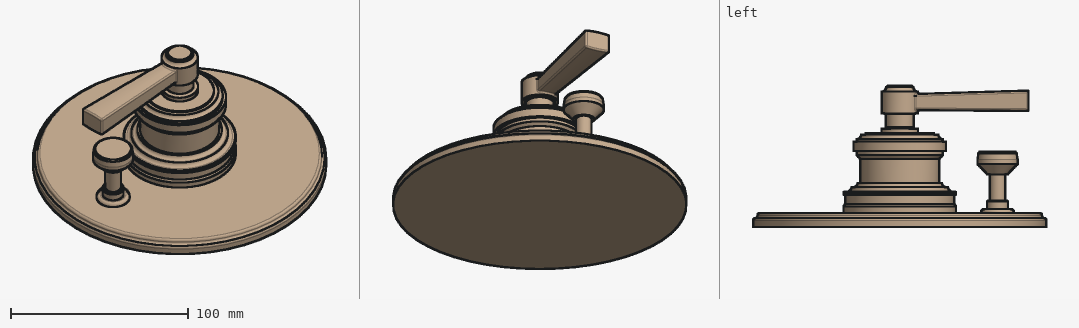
import cadquery as cq

PLATE_RADIUS = 82.5
PLATE_RIM_HEIGHT = 3.6
PLATE_LEDGE_HEIGHT = 5.1
PLATE_LEDGE_RADIUS = 81.5
PLATE_MOULDING_ROUND = 1.5
PLATE_TOP = PLATE_LEDGE_HEIGHT + 2 * PLATE_MOULDING_ROUND

BASE_RADIUS = 31.7
BASE_GROOVE_RADIUS = 30.7
BASE_SHOULDER_HEIGHT = 11.5
BASE_BEVEL = 1.5
FLANGE_BOTTOM = 18.0
FLANGE_TOP = 20.0
FLANGE_CHAMFER = 0.5
COVE_ROUND = 2.5
LOWER_COVE_RADIUS = 29.7
UPPER_COVE_RADIUS = 26.3
COLUMN_RADIUS = 22.3
COLUMN_TOP = 38.5
NECK_RADIUS = 24.3
NECK_BOTTOM = 40.5
COLLAR_RADIUS = 26.1
COLLAR_BOTTOM = 42.8
COLLAR_TOP = 48.0
CROWN_COVE_BOTTOM = 49.5
CROWN_CAP_RADIUS = 19.3
CROWN_TOP = 52.8

DISC_RADIUS = 10.4
DISC_TOP = 55.5
GAP_RADIUS = 5.3
STEM_RADIUS = 8.0
STEM_BOTTOM = 56.3
HEAD_RADIUS = 10.2
HEAD_LIP_RADIUS = 8.6
HEAD_LIP_BOTTOM = 63.5
HEAD_BOTTOM = 64.0
HEAD_TOP = 76.3
CAP_RADIUS = 7.1
CAP_TOP = 79.5
CAP_CHAMFER = 0.5

LEVER_LENGTH = 72.5
LEVER_ROOT_Y = 8.3
ROOT_HALF_WIDTH = 5.6
ROOT_BOTTOM = 65.7
ROOT_TOP = 75.0
TIP_HALF_WIDTH = 7.6
TIP_BOTTOM = 65.2
TIP_TOP = 77.0
LEVER_CROWN = 0.5
LEVER_EDGE_ROUND = 1.0
LEVER_ROOT_ROUND = 1.0
JOINT_MARGIN = 0.2

KNOB_Y = -55.0
KNOB_FOOT_RADIUS = 9.4
KNOB_FOOT_HEIGHT = 2.1
KNOB_SLEEVE_RADIUS = 6.0
KNOB_SLEEVE_TOP = 15.0
KNOB_SLEEVE_CHAMFER = 0.7
KNOB_SHAFT_RADIUS = 4.5
KNOB_CONE_RADIUS = 5.8
KNOB_CONE_BOTTOM = 29.7
KNOB_RADIUS = 11.4
KNOB_RIM_BOTTOM = 35.5
KNOB_RIM_TOP = 38.0
KNOB_SHOULDER_RADIUS = 10.9
KNOB_SHOULDER_HEIGHT = 41.5
KNOB_TOP_RADIUS = 10.0
KNOB_TOP = 42.5


def convex(profile, radius, height, curve):
    """Continue an upward (radius, height) profile with an outward-bulging arc."""
    return profile.radiusArc((radius, height), -curve)


def hollow(profile, radius, height, curve):
    """Continue an upward (radius, height) profile with an inward-curving arc."""
    return profile.radiusArc((radius, height), curve)


def straight_run(profile, steps):
    """Continue a profile with straight lines through (radius, height) corners."""
    for corner in steps:
        profile = profile.lineTo(*corner)
    return profile


def spin(profile, top):
    """Close a profile on the vertical axis and revolve it."""
    return profile.lineTo(0, top).close().revolve(360, (0, 0), (0, 1))


def make_plate():
    moulding_middle = PLATE_LEDGE_HEIGHT + PLATE_MOULDING_ROUND
    moulding_radius = PLATE_LEDGE_RADIUS - PLATE_MOULDING_ROUND
    profile = cq.Workplane("XZ").lineTo(PLATE_RADIUS, 0).lineTo(PLATE_RADIUS, PLATE_RIM_HEIGHT)
    profile = convex(profile, PLATE_LEDGE_RADIUS, PLATE_LEDGE_HEIGHT, PLATE_MOULDING_ROUND)
    profile = hollow(profile, moulding_radius, moulding_middle, PLATE_MOULDING_ROUND)
    profile = convex(profile, moulding_radius - PLATE_MOULDING_ROUND, PLATE_TOP, PLATE_MOULDING_ROUND)
    return spin(profile, PLATE_TOP)


def make_body():
    lower_cove_top = FLANGE_TOP + COVE_ROUND
    upper_cove_top = lower_cove_top + COVE_ROUND
    crown_cove_top = CROWN_COVE_BOTTOM + COVE_ROUND
    profile = straight_run(cq.Workplane("XZ"), [
        (BASE_RADIUS, 0),
        (BASE_RADIUS, BASE_SHOULDER_HEIGHT),
        (BASE_GROOVE_RADIUS, BASE_SHOULDER_HEIGHT + BASE_BEVEL),
        (BASE_GROOVE_RADIUS, FLANGE_BOTTOM),
        (BASE_RADIUS - FLANGE_CHAMFER, FLANGE_BOTTOM),
        (BASE_RADIUS, FLANGE_BOTTOM + FLANGE_CHAMFER),
        (BASE_RADIUS, FLANGE_TOP - FLANGE_CHAMFER),
        (BASE_RADIUS - FLANGE_CHAMFER, FLANGE_TOP),
        (LOWER_COVE_RADIUS, FLANGE_TOP),
    ])
    profile = hollow(profile, LOWER_COVE_RADIUS - COVE_ROUND, lower_cove_top, COVE_ROUND)
    profile = profile.lineTo(UPPER_COVE_RADIUS, lower_cove_top)
    profile = hollow(profile, UPPER_COVE_RADIUS - COVE_ROUND, upper_cove_top, COVE_ROUND)
    profile = straight_run(profile, [
        (COLUMN_RADIUS, upper_cove_top),
        (COLUMN_RADIUS, COLUMN_TOP),
        (NECK_RADIUS, NECK_BOTTOM),
        (NECK_RADIUS, COLLAR_BOTTOM),
        (COLLAR_RADIUS, COLLAR_BOTTOM),
        (COLLAR_RADIUS, COLLAR_TOP),
        (NECK_RADIUS, COLLAR_TOP),
        (NECK_RADIUS, CROWN_COVE_BOTTOM),
    ])
    profile = hollow(profile, NECK_RADIUS - COVE_ROUND, crown_cove_top, COVE_ROUND)
    profile = straight_run(profile, [(CROWN_CAP_RADIUS, crown_cove_top), (CROWN_CAP_RADIUS, CROWN_TOP)])
    return spin(profile, CROWN_TOP)


def make_stem_and_head():
    cove_top = HEAD_TOP + COVE_ROUND
    profile = straight_run(cq.Workplane("XZ"), [
        (DISC_RADIUS, 0),
        (DISC_RADIUS, DISC_TOP),
        (GAP_RADIUS, DISC_TOP),
        (GAP_RADIUS, STEM_BOTTOM),
        (STEM_RADIUS, STEM_BOTTOM),
        (STEM_RADIUS, HEAD_LIP_BOTTOM),
        (HEAD_LIP_RADIUS, HEAD_LIP_BOTTOM),
        (HEAD_LIP_RADIUS, HEAD_BOTTOM),
        (HEAD_RADIUS, HEAD_BOTTOM),
        (HEAD_RADIUS, HEAD_TOP),
    ])
    profile = hollow(profile, HEAD_RADIUS - COVE_ROUND, cove_top, COVE_ROUND)
    profile = straight_run(profile, [
        (CAP_RADIUS, cove_top),
        (CAP_RADIUS, CAP_TOP - CAP_CHAMFER),
        (CAP_RADIUS - CAP_CHAMFER, CAP_TOP),
    ])
    return spin(profile, CAP_TOP)


def lever_section(sketch, half_width, bottom, top):
    """Draw a rectangle with straight sides and bulging upper and lower edges."""
    return (
        sketch.moveTo(-half_width, bottom + LEVER_CROWN)
        .threePointArc((0, bottom), (half_width, bottom + LEVER_CROWN))
        .lineTo(half_width, top - LEVER_CROWN)
        .threePointArc((0, top), (-half_width, top - LEVER_CROWN))
        .close()
    )


def make_lever():
    root = cq.Workplane("XZ", origin=(0, -LEVER_ROOT_Y, 0))
    lever = lever_section(root, ROOT_HALF_WIDTH, ROOT_BOTTOM, ROOT_TOP)
    lever = lever.workplane(offset=LEVER_LENGTH - LEVER_ROOT_Y)
    lever = lever_section(lever, TIP_HALF_WIDTH, TIP_BOTTOM, TIP_TOP).loft(ruled=True)
    return lever.edges("not >Y").fillet(LEVER_EDGE_ROUND)


def make_handle():
    handle = make_stem_and_head().union(make_lever())
    joint = cq.selectors.BoxSelector(
        (-HEAD_RADIUS, -HEAD_RADIUS - JOINT_MARGIN, HEAD_BOTTOM + JOINT_MARGIN),
        (HEAD_RADIUS, -LEVER_ROOT_Y, HEAD_TOP - JOINT_MARGIN),
        boundingbox=True,
    )
    return handle.edges(joint).fillet(LEVER_ROOT_ROUND)


def make_knob():
    foot_top = PLATE_TOP + KNOB_FOOT_HEIGHT
    profile = straight_run(cq.Workplane("XZ", origin=(0, KNOB_Y, 0)), [
        (KNOB_FOOT_RADIUS, 0),
        (KNOB_FOOT_RADIUS, PLATE_TOP),
    ])
    profile = convex(profile, KNOB_FOOT_RADIUS - KNOB_FOOT_HEIGHT, foot_top, KNOB_FOOT_HEIGHT)
    profile = straight_run(profile, [
        (KNOB_SLEEVE_RADIUS, foot_top),
        (KNOB_SLEEVE_RADIUS, KNOB_SLEEVE_TOP - KNOB_SLEEVE_CHAMFER),
        (KNOB_SLEEVE_RADIUS - KNOB_SLEEVE_CHAMFER, KNOB_SLEEVE_TOP),
        (KNOB_SHAFT_RADIUS, KNOB_SLEEVE_TOP),
        (KNOB_SHAFT_RADIUS, KNOB_CONE_BOTTOM),
        (KNOB_CONE_RADIUS, KNOB_CONE_BOTTOM),
        (KNOB_RADIUS, KNOB_RIM_BOTTOM),
        (KNOB_RADIUS, KNOB_RIM_TOP),
        (KNOB_SHOULDER_RADIUS, KNOB_SHOULDER_HEIGHT),
        (KNOB_TOP_RADIUS, KNOB_TOP),
    ])
    return spin(profile, KNOB_TOP)


result = make_plate().union(make_body()).union(make_handle()).union(make_knob())